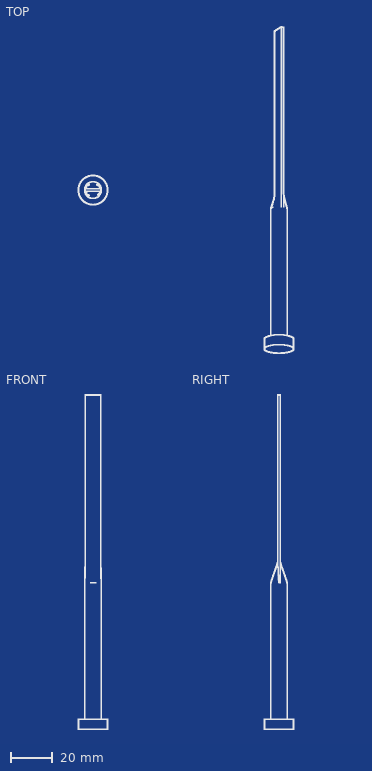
import cadquery as cq

head_diameter = 14.0
head_height = 5.0
shank_diameter = 8.0
shank_top = 70.0

total_length = 160.0
blade_width = 7.5
blade_thickness = 1.3
blade_start = 80.0


def make_head():
    return cq.Workplane("XY").circle(head_diameter / 2).extrude(head_height)


def make_shank():
    return cq.Workplane("XY").circle(shank_diameter / 2).extrude(shank_top)


def make_transition():
    """Loft from the round shank to the rectangular blade."""
    return (
        cq.Workplane("XY", origin=(0, 0, shank_top))
        .circle(shank_diameter / 2)
        .workplane(offset=blade_start - shank_top)
        .rect(blade_width, blade_thickness)
        .loft()
    )


def make_blade():
    return (
        cq.Workplane("XY", origin=(0, 0, blade_start))
        .rect(blade_width, blade_thickness)
        .extrude(total_length - blade_start)
    )


result = make_head().union(make_shank()).union(make_transition()).union(make_blade())